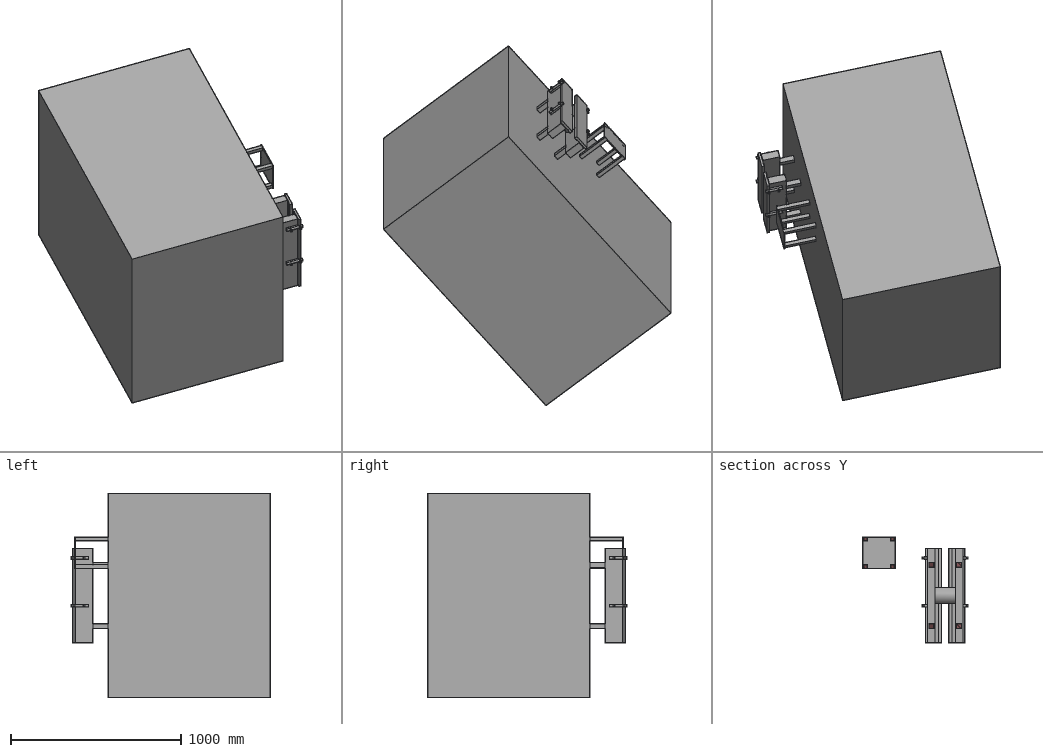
import cadquery as cq

wall_width = 1500.0
wall_depth = 952.0
wall_height = 1200.0

stand_x = 5.0
stand_z = 250.0
stand_plate_width = 192.0
stand_plate_height = 185.0
stand_plate_thickness = 6.0
stand_reach = 196.0
post_size = 22.0
post_spacing_x = 159.0

carrier_x = 393.0
rail_gap = 120.0
rail_width = 45.0
rail_depth = 102.0
rail_height = 555.0
arm_length = 90.0
arm_size = 30.0
arm_z = 180.0
arm_offset_x = 81.0

strip_inner_offset = 21.0
strip_outer_offset = 115.0
strip_thickness = 14.0
strip_gap = 3.0
lip_width = 18.0

rod_diameter = 16.0
rod_offset_x = 117.0
rod_length = 100.0
rod_tip_y = 218.0
rod_heights = (220.0, -60.0)
pin_diameter = 12.0
pin_end_offset = 135.0
pin_spacing = 60.0
outer_pin_y = 201.0

drum_diameter = 96.0

rail_inner_offset = rail_gap / 2
rail_outer_offset = rail_inner_offset + rail_width
rail_front_y = arm_length + rail_depth


def box(x_range, y_range, z_range):
    """Box between the given limits along each axis."""
    sizes = [high - low for low, high in (x_range, y_range, z_range)]
    corner = (x_range[0], y_range[0], z_range[0])
    return cq.Workplane("XY").box(*sizes, centered=False).translate(corner)


def around(middle, size):
    """Limits of a span of the given size around its middle."""
    return (middle - size / 2, middle + size / 2)


def rod_between(start, axis, length, diameter):
    """Round rod from a start point along an axis."""
    solid = cq.Solid.makeCylinder(diameter / 2, length, cq.Vector(*start), cq.Vector(*axis))
    return cq.Workplane(obj=solid)


def make_wall():
    return box(around(0, wall_width), (-wall_depth, 0), around(0, wall_height))


def make_stand():
    plate_back_y = stand_reach - stand_plate_thickness
    stand = box(
        around(stand_x, stand_plate_width),
        (plate_back_y, stand_reach),
        around(stand_z, stand_plate_height),
    )
    post_spacing_z = stand_plate_height - post_size
    for side_x in (-1, 1):
        for side_z in (-1, 1):
            post_x = stand_x + side_x * post_spacing_x / 2
            post_z = stand_z + side_z * post_spacing_z / 2
            post = box(around(post_x, post_size), (0, plate_back_y), around(post_z, post_size))
            stand = stand.union(post)
    return stand


def make_upright():
    """Upright with its two arms, on the +X side of the carrier centre."""
    upright = box(
        (rail_inner_offset, rail_outer_offset), (arm_length, rail_front_y), around(0, rail_height)
    )
    for side_z in (-1, 1):
        arm = box(around(arm_offset_x, arm_size), (0, arm_length), around(side_z * arm_z, arm_size))
        upright = upright.union(arm)
    return upright


def make_strip():
    """Strip standing just clear of the upright, with its inner lip."""
    z_range = around(0, rail_height)
    strip_back_y = rail_front_y + strip_gap
    strip = box(
        (strip_inner_offset, strip_outer_offset), (strip_back_y, strip_back_y + strip_thickness), z_range
    )
    lip = box((strip_inner_offset, strip_inner_offset + lip_width), (rail_front_y, strip_back_y), z_range)
    return strip.union(lip)


def make_clamp(rod_z):
    """Rod, lug and crossing pins at one height."""
    rod_end_y = rod_tip_y - rod_length
    clamp = rod_between((rod_offset_x, rod_end_y, rod_z), (0, 1, 0), rod_length, rod_diameter)
    lug = box((rail_outer_offset, strip_outer_offset), (rod_end_y, rail_front_y), around(rod_z, rod_diameter))
    clamp = clamp.union(lug)
    for pin_y in (outer_pin_y, outer_pin_y - pin_spacing):
        pin_length = pin_end_offset - rail_outer_offset
        pin = rod_between((rail_outer_offset, pin_y, rod_z), (1, 0, 0), pin_length, pin_diameter)
        clamp = clamp.union(pin)
    return clamp


def make_rail(side):
    """Complete rail; side is +1 or -1 along X."""
    rail = make_upright().union(make_strip())
    for rod_z in rod_heights:
        rail = rail.union(make_clamp(rod_z))
    if side < 0:
        rail = rail.mirror("YZ")
    return rail.translate((carrier_x, 0, 0))


def make_drum():
    drum_start = (carrier_x - rail_inner_offset, arm_length + rail_depth / 2, 0)
    return rod_between(drum_start, (1, 0, 0), rail_gap, drum_diameter)


wall = make_wall()
stand = make_stand()
rails = [make_rail(side) for side in (-1, 1)]
rails[0] = rails[0].union(make_drum())

result = cq.Compound.makeCompound([wall.val(), stand.val(), *[rail.val() for rail in rails]])